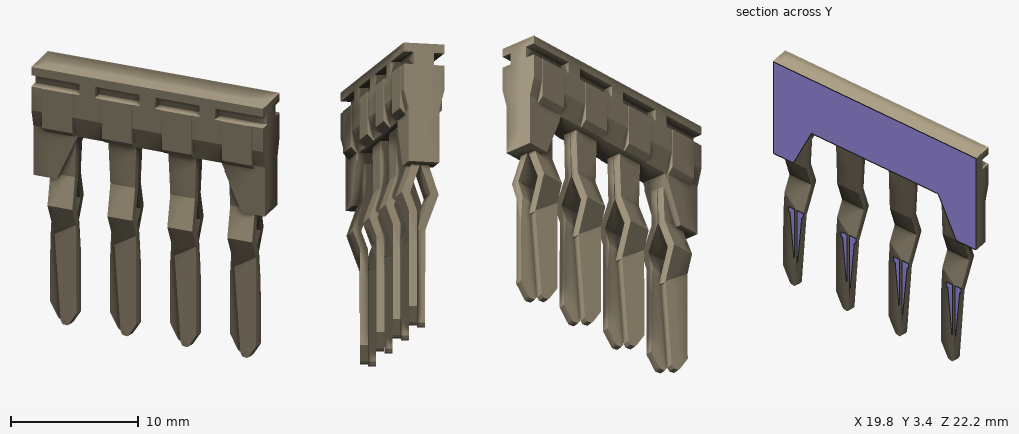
import cadquery as cq
import math


LENGTH = 19.8
HEIGHT = 22.17
HEAD_WIDTH = 3.28
NECK_WIDTH = 2.48
TAPER_TOP_Z = 18.45
TAPER_BOTTOM_Z = 16.95
HOUSING_BOTTOM_Z = 16.63
TAPER_SLOPE = (HEAD_WIDTH - NECK_WIDTH) / (TAPER_TOP_Z - TAPER_BOTTOM_Z)
UNDERSIDE_WIDTH = HEAD_WIDTH - TAPER_SLOPE * (TAPER_TOP_Z - HOUSING_BOTTOM_Z)
LEG_BOTTOM_Z = 12.7
LEG_TOP_LENGTH = 3.75
LEG_BOTTOM_LENGTH = 2.0

PIN_COUNT = 4
PITCH = 5.12
PAD_WIDTH = 2.53
PAD_SPAN = 3.4
PAD_CHAMFER = 0.49
SLOT_WIDTH = 3.81
SLOT_DEPTH = 0.82
SLOT_BOTTOM_Z = 20.49
SLOT_TOP_Z = 21.45

SHEET = 0.62
HALF_GAP = 0.02
OUTER_FACE = HALF_GAP + SHEET
KNEE_Y = 1.53
KNEE_Z = 10.42
FOLD_FOOT_Z = 7.47
BEND_ANGLE = 20.0
TWIST_ANGLE = 13.4
EMBED_DEPTH = 1.1
STEM_TOP_Z = HOUSING_BOTTOM_Z + EMBED_DEPTH
CLEARANCE = 6.65

BEND_SLOPE = math.tan(math.radians(BEND_ANGLE))
SLANTED_SHEET = SHEET / math.cos(math.radians(BEND_ANGLE))
INNER_KNEE_Y = KNEE_Y - SLANTED_SHEET
OUTER_BEND_Z = KNEE_Z + (KNEE_Y - OUTER_FACE) / BEND_SLOPE
INNER_BEND_Z = KNEE_Z + (INNER_KNEE_Y - HALF_GAP) / BEND_SLOPE

STEM_OUTLINE = [
    (-1.2, STEM_TOP_Z),
    (-1.2, HOUSING_BOTTOM_Z),
    (-1.02, OUTER_BEND_Z),
    (-0.73, FOLD_FOOT_Z),
    (-0.73, 0.0),
    (1.53, 0.0),
    (1.46, 6.65),
    (1.09, OUTER_BEND_Z),
    (1.2, HOUSING_BOTTOM_Z),
    (1.2, STEM_TOP_Z),
]

BLADE_OUTLINE = [
    (-0.82, KNEE_Z),
    (0.0, 0.27),
    (0.18, 0.0),
    (0.65, 0.0),
    (0.78, 0.13),
    (1.53, 1.26),
    (1.5, KNEE_Z),
]

PIN_XS = [(i - (PIN_COUNT - 1) / 2) * PITCH for i in range(PIN_COUNT)]


def centred_box(x, width, y_min, y_max, z_min, z_max):
    """Box centred on x, with the given Y and Z limits."""
    return (
        cq.Workplane("XY")
        .box(width, y_max - y_min, z_max - z_min, centered=(True, False, False))
        .translate((x, y_min, z_min))
    )


def extrude_along_x(points, width):
    """Prism centred on X = 0 from a (y, z) outline."""
    return cq.Workplane("YZ").polyline(points).close().extrude(width / 2, both=True)


def extrude_along_y(points, y_min, y_max):
    """Prism between two Y limits from an (x, z) outline."""
    prism = cq.Workplane("XZ").polyline(points).close().extrude(y_min - y_max)
    return prism.translate((0, y_min, 0))


def half_turn(solid):
    return solid.rotate((0, 0, 0), (0, 0, 1), 180)


def make_head():
    """Full-length bar whose tapered sides run down to its underside."""
    section = [
        (-HEAD_WIDTH / 2, HEIGHT),
        (-HEAD_WIDTH / 2, TAPER_TOP_Z),
        (-UNDERSIDE_WIDTH / 2, HOUSING_BOTTOM_Z),
        (UNDERSIDE_WIDTH / 2, HOUSING_BOTTOM_Z),
        (HEAD_WIDTH / 2, TAPER_TOP_Z),
        (HEAD_WIDTH / 2, HEIGHT),
    ]
    return extrude_along_x(section, LENGTH)


def make_leg():
    """Leg at the -X end, of neck width, with a slanted inner edge."""
    end_x = -LENGTH / 2
    slant = (LEG_TOP_LENGTH - LEG_BOTTOM_LENGTH) / (HOUSING_BOTTOM_Z - LEG_BOTTOM_Z)
    pad_edge_x = PIN_XS[0] + PAD_WIDTH / 2
    shoulder_z = HOUSING_BOTTOM_Z - (end_x + LEG_TOP_LENGTH - pad_edge_x) / slant
    full_width_outline = [
        (end_x, TAPER_BOTTOM_Z),
        (end_x, LEG_BOTTOM_Z),
        (end_x + LEG_BOTTOM_LENGTH, LEG_BOTTOM_Z),
        (pad_edge_x, shoulder_z),
        (pad_edge_x, TAPER_BOTTOM_Z),
    ]
    web_outline = [
        (pad_edge_x, HOUSING_BOTTOM_Z),
        (pad_edge_x, shoulder_z),
        (end_x + LEG_TOP_LENGTH, HOUSING_BOTTOM_Z),
    ]
    leg = extrude_along_y(full_width_outline, -NECK_WIDTH / 2, NECK_WIDTH / 2)
    return leg.union(extrude_along_y(web_outline, -UNDERSIDE_WIDTH / 2, UNDERSIDE_WIDTH / 2))


def make_pad():
    """Raised pads of one pin, spanning both sides, bevelled in to the neck."""
    section = [
        (-PAD_SPAN / 2, SLOT_BOTTOM_Z),
        (-PAD_SPAN / 2, HOUSING_BOTTOM_Z + PAD_CHAMFER),
        (-NECK_WIDTH / 2, HOUSING_BOTTOM_Z),
        (NECK_WIDTH / 2, HOUSING_BOTTOM_Z),
        (PAD_SPAN / 2, HOUSING_BOTTOM_Z + PAD_CHAMFER),
        (PAD_SPAN / 2, SLOT_BOTTOM_Z),
    ]
    return extrude_along_x(section, PAD_WIDTH)


def make_front_slots():
    """Slots of the -Y side; the outermost ones run out through the ends."""
    y_min = -HEAD_WIDTH / 2
    y_max = y_min + SLOT_DEPTH
    slots = cq.Workplane("XY")
    for x in PIN_XS:
        slots = slots.union(centred_box(x, SLOT_WIDTH, y_min, y_max, SLOT_BOTTOM_Z, SLOT_TOP_Z))
    for end_x in (-LENGTH / 2, LENGTH / 2):
        run_out = 2 * (LENGTH / 2 - PIN_XS[-1])
        slots = slots.union(centred_box(end_x, run_out, y_min, y_max, SLOT_BOTTOM_Z, SLOT_TOP_Z))
    return slots


def twist(solid):
    return solid.rotate((0, 0, 0), (0, 0, 1), -TWIST_ANGLE)


def make_blade():
    """The -Y blade: stem, outward knee, then a flat blade twisted about Z."""
    foot_shift = (KNEE_Z - FOLD_FOOT_Z) * BEND_SLOPE
    outer_foot_y = -KNEE_Y + foot_shift
    inner_foot_y = -INNER_KNEE_Y + foot_shift
    sheet = extrude_along_x(
        [
            (-OUTER_FACE, STEM_TOP_Z),
            (-OUTER_FACE, OUTER_BEND_Z),
            (-KNEE_Y, KNEE_Z),
            (outer_foot_y, FOLD_FOOT_Z),
            (inner_foot_y, FOLD_FOOT_Z),
            (-INNER_KNEE_Y, KNEE_Z),
            (-HALF_GAP, INNER_BEND_Z),
            (-HALF_GAP, STEM_TOP_Z),
        ],
        CLEARANCE,
    )
    lower_blade = twist(extrude_along_y(BLADE_OUTLINE, -OUTER_FACE, -HALF_GAP))

    behind_blade = twist(centred_box(0, CLEARANCE, -HALF_GAP, CLEARANCE, 0, KNEE_Z))
    behind_sheet = extrude_along_x(
        [
            (-INNER_KNEE_Y, KNEE_Z),
            (inner_foot_y, FOLD_FOOT_Z),
            (CLEARANCE, FOLD_FOOT_Z),
            (CLEARANCE, KNEE_Z),
        ],
        CLEARANCE,
    )
    folded = sheet.cut(behind_blade).union(lower_blade.cut(behind_sheet))
    outline = extrude_along_y(STEM_OUTLINE, -CLEARANCE, CLEARANCE)
    return folded.intersect(outline)


front_slots = make_front_slots()
pad = make_pad()
blade = make_blade()
leg = make_leg()

result = make_head().union(leg).union(half_turn(leg))
for pin_x in PIN_XS:
    result = result.union(pad.translate((pin_x, 0, 0)))
result = result.cut(front_slots).cut(half_turn(front_slots))
for pin_x in PIN_XS:
    for one_blade in (blade, half_turn(blade)):
        result = result.union(one_blade.translate((pin_x, 0, 0)))